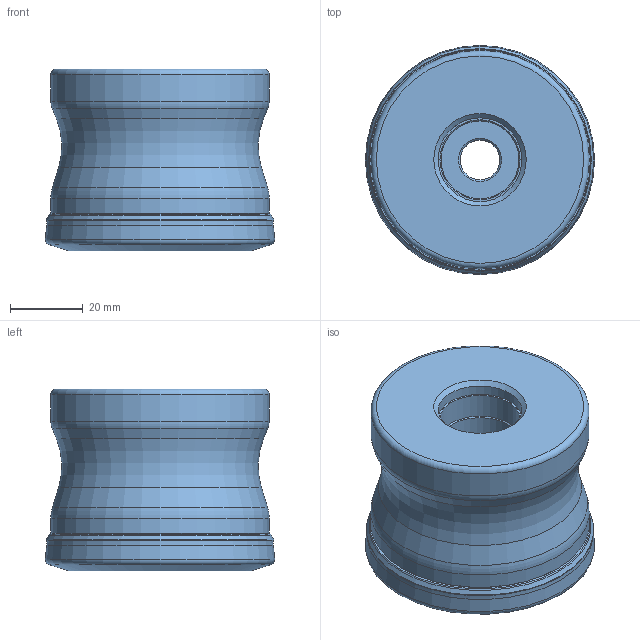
import cadquery as cq
import math

total_height = 50.0
seam_height = 10.1

body_radius = 30.0
waist_radius = 27.0
waist_height = 28.8
waist_arc = 20.0
upper_blend = 5.0
lower_blend = 10.0
upper_flank = math.radians(22)
lower_flank = math.radians(17)
top_round = 1.5
seam_chamfer = 0.3

mouth_radius = 11.5
mouth_chamfer = 1.2
mouth_depth = 4.0
seat_radius = 11.0
seat_depth = 11.0
bore_radius = 10.7
bore_lead_in = seat_radius - bore_radius
bore_floor = 20.0
screw_hole_radius = 5.45
screw_hole_chamfer = 0.5

base_radius = 31.5
base_round = 1.5
base_round_height = 3.15
bottom_slope = math.radians(17)
wall_taper = math.radians(5)
wall_top = 8.4
wall_arc = 15.0
lip_radius = 31.25
lip_thickness = 0.2
rim_radius = 30.35
rim_chamfer_width = 0.25
rim_chamfer_height = 0.35


def waist_half(blend, flank, side):
    """Points from the waist to the straight band; side is +1 going up, -1 going down.

    Returns the end of the waist arc, the start of the blend arc, a point halfway
    along the blend arc and the end of the blend arc.
    """
    waist_rise = waist_arc * (1 - math.cos(flank))
    blend_rise = blend * (1 - math.cos(flank))
    flank_rise = body_radius - waist_radius - waist_rise - blend_rise
    waist_end = waist_arc * math.sin(flank)
    blend_start = waist_end + flank_rise / math.tan(flank)
    blend_end = blend_start + blend * math.sin(flank)
    blend_centre = body_radius - blend
    return (
        (waist_radius + waist_rise, waist_height + side * waist_end),
        (body_radius - blend_rise, waist_height + side * blend_start),
        (
            blend_centre + blend * math.cos(flank / 2),
            waist_height + side * (blend_end - blend * math.sin(flank / 2)),
        ),
        (body_radius, waist_height + side * blend_end),
    )


def revolve(profile):
    return profile.close().revolve(360, (0, 0, 0), (0, 1, 0))


def make_body():
    low_waist, low_blend, low_mid, low_band = waist_half(lower_blend, lower_flank, -1)
    top_waist, top_blend, top_mid, top_band = waist_half(upper_blend, upper_flank, 1)
    round_centre = (body_radius - top_round, total_height - top_round)
    round_mid = tuple(c + top_round * math.sqrt(0.5) for c in round_centre)
    mouth_floor = total_height - mouth_depth
    seat_floor = total_height - seat_depth
    profile = (
        cq.Workplane("XZ")
        .moveTo(screw_hole_radius, seam_height)
        .lineTo(body_radius - seam_chamfer, seam_height)
        .lineTo(body_radius, seam_height + seam_chamfer)
        .lineTo(*low_band)
        .threePointArc(low_mid, low_blend)
        .lineTo(*low_waist)
        .threePointArc((waist_radius, waist_height), top_waist)
        .lineTo(*top_blend)
        .threePointArc(top_mid, top_band)
        .lineTo(body_radius, total_height - top_round)
        .threePointArc(round_mid, (body_radius - top_round, total_height))
        .lineTo(mouth_radius + mouth_chamfer, total_height)
        .lineTo(mouth_radius, total_height - mouth_chamfer)
        .lineTo(mouth_radius, mouth_floor)
        .lineTo(seat_radius, mouth_floor)
        .lineTo(seat_radius, seat_floor)
        .lineTo(bore_radius, seat_floor - bore_lead_in)
        .lineTo(bore_radius, bore_floor)
        .lineTo(screw_hole_radius + screw_hole_chamfer, bore_floor)
        .lineTo(screw_hole_radius, bore_floor - screw_hole_chamfer)
    )
    return revolve(profile)


def make_base():
    centre = base_radius - base_round
    round_start = (
        centre + base_round * math.sin(bottom_slope),
        base_round_height - base_round * math.cos(bottom_slope),
    )
    round_end = (
        centre + base_round * math.cos(wall_taper),
        base_round_height + base_round * math.sin(wall_taper),
    )
    bottom_flat_radius = round_start[0] - round_start[1] / math.tan(bottom_slope)
    mid_angle = (wall_taper + bottom_slope - math.pi / 2) / 2
    round_mid = (
        centre + base_round * math.cos(mid_angle),
        base_round_height + base_round * math.sin(mid_angle),
    )
    curve_start_height = wall_top - wall_arc * math.sin(wall_taper)
    curve_start_radius = round_end[0] - (curve_start_height - round_end[1]) * math.tan(wall_taper)
    wall_top_radius = curve_start_radius - wall_arc * (1 - math.cos(wall_taper))
    curve_mid = (
        wall_top_radius + wall_arc * (1 - math.cos(wall_taper / 2)),
        wall_top - wall_arc * math.sin(wall_taper / 2),
    )
    profile = (
        cq.Workplane("XZ")
        .moveTo(screw_hole_radius, 0)
        .lineTo(bottom_flat_radius, 0)
        .lineTo(*round_start)
        .threePointArc(round_mid, round_end)
        .lineTo(curve_start_radius, curve_start_height)
        .threePointArc(curve_mid, (wall_top_radius, wall_top))
        .lineTo(lip_radius, wall_top)
        .lineTo(lip_radius, wall_top + lip_thickness)
        .lineTo(rim_radius + rim_chamfer_width, seam_height - rim_chamfer_height)
        .lineTo(rim_radius, seam_height)
        .lineTo(screw_hole_radius, seam_height)
    )
    return revolve(profile)


body = make_body()
base = make_base()

result = cq.Compound.makeCompound([body.val(), base.val()])